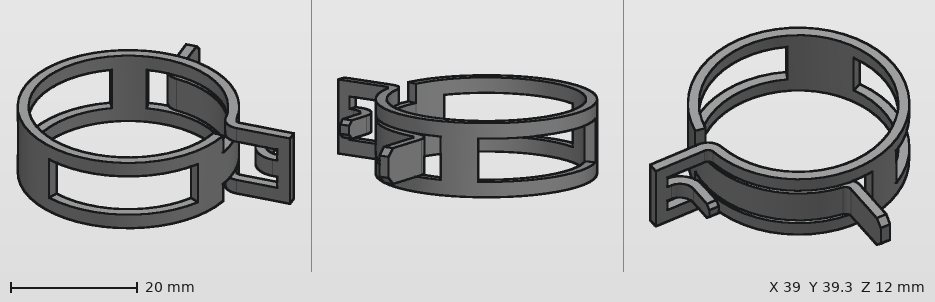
import cadquery as cq
import math


thickness = 1.75
outer_radius = 17.5
inner_radius = outer_radius - thickness
band_width = 12.0
window_width = 7.0
tongue_width = 5.8

tab_angle = 45.0
tab_top_offset = 1.55
tab_bottom_offset = tab_top_offset - thickness
tab_tip = 27.38
bend_radius = 1.0
tongue_chamfer = 1.2

band_end_angle = 34.7
slot_end_angle = 180.0 - band_end_angle
window_high_angle = 14.7
window_low_angle = 70.0

slot_tip = 25.2
hook_width = 3.0
hook_bend_radius = 2.5
hook_top = 21.95
hook_reach = 8.87
hook_chamfer = 0.75


def polar(radius, angle):
    return (radius * math.cos(math.radians(angle)), radius * math.sin(math.radians(angle)))


def offset_point(center, radius, angle):
    dx, dy = polar(radius, angle)
    return (center[0] + dx, center[1] + dy)


def flared_strip(end_angle, tip, width):
    """Strip from a tab tip, through the bend, around the ring to end_angle."""
    end = end_angle - tab_angle
    center_distance = outer_radius + bend_radius
    center_y = tab_top_offset + bend_radius
    bend_angle = math.degrees(math.asin(center_y / center_distance))
    center = polar(center_distance, bend_angle)
    ring_middle = (bend_angle + end) / 2
    bend_start = 180 + bend_angle
    bend_end = 270
    bend_middle = (bend_start + bend_end) / 2
    large_bend_radius = bend_radius + thickness

    profile = (
        cq.Workplane("XY")
        .moveTo(tip, tab_top_offset)
        .lineTo(center[0], tab_top_offset)
        .threePointArc(offset_point(center, bend_radius, bend_middle), polar(outer_radius, bend_angle))
        .threePointArc(polar(outer_radius, ring_middle), polar(outer_radius, end))
        .lineTo(*polar(inner_radius, end))
        .threePointArc(polar(inner_radius, ring_middle), polar(inner_radius, bend_angle))
        .threePointArc(
            offset_point(center, large_bend_radius, bend_middle), (center[0], tab_bottom_offset)
        )
        .lineTo(tip, tab_bottom_offset)
        .close()
    )
    return profile.extrude(width / 2, both=True)


def in_place(shape):
    """Turn a shape from the tab's frame to its position on the clamp."""
    return shape.rotate((0, 0, 0), (0, 0, 1), tab_angle)


def on_opposite_side(shape):
    """Half turn about Y: moves a shape that is symmetric in Z to the other side of the YZ plane."""
    return shape.rotate((0, 0, 0), (0, 1, 0), 180)


def side_window():
    """Wedge that cuts the window on the -X side of the ring."""
    wedge_radius = 2 * outer_radius
    start = 180 + window_low_angle
    end = 180 - window_high_angle
    wedge = (
        cq.Workplane("XY")
        .lineTo(*polar(wedge_radius, start))
        .threePointArc(polar(wedge_radius, (start + end) / 2), polar(wedge_radius, end))
        .close()
    )
    return wedge.extrude(window_width / 2, both=True)


def wide_band():
    band = in_place(flared_strip(360 + band_end_angle, tab_tip, band_width))
    slot = in_place(flared_strip(slot_end_angle, slot_tip, window_width))
    window = side_window()
    return band.cut(slot).cut(window).cut(on_opposite_side(window))


def tongue():
    strip = flared_strip(slot_end_angle, tab_tip, tongue_width)
    strip = strip.faces(">X").edges("|Y").chamfer(tongue_chamfer)
    return on_opposite_side(in_place(strip))


def hook():
    """Small strip bent up out of the slot, starting at the slot's tip end."""
    large_bend_radius = hook_bend_radius + thickness
    center = (hook_top + hook_bend_radius, tab_top_offset + hook_bend_radius)
    bend_middle = (180 + 270) / 2
    hook_bottom = hook_top - thickness
    profile = (
        cq.Workplane("XY")
        .moveTo(slot_tip, tab_top_offset)
        .lineTo(center[0], tab_top_offset)
        .threePointArc(offset_point(center, hook_bend_radius, bend_middle), (hook_top, center[1]))
        .lineTo(hook_top, hook_reach)
        .lineTo(hook_bottom, hook_reach)
        .lineTo(hook_bottom, center[1])
        .threePointArc(
            offset_point(center, large_bend_radius, bend_middle),
            (center[0], tab_bottom_offset),
        )
        .lineTo(slot_tip, tab_bottom_offset)
        .close()
    )
    strip = profile.extrude(hook_width / 2, both=True)
    strip = strip.faces(">Y").edges("|X").chamfer(hook_chamfer)
    return in_place(strip)


result = wide_band().union(tongue()).union(hook())